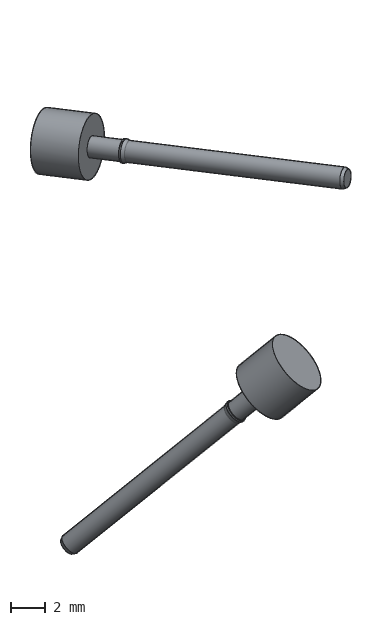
import cadquery as cq

overall_length = 19.0
head_diameter = 3.9
head_length = 3.0
shaft_diameter = 1.3

collar_diameter = 1.45
collar_start = 5.0
collar_land_length = 0.11
collar_taper_length = 0.23

tip_chamfer_length = 0.2
tip_chamfer_depth = 0.1

head_radius = head_diameter / 2
shaft_radius = shaft_diameter / 2
collar_radius = collar_diameter / 2
collar_land_end = collar_start + collar_land_length
collar_end = collar_land_end + collar_taper_length

half_section = (
    cq.Workplane("XZ")
    .moveTo(0, 0)
    .lineTo(0, head_radius)
    .lineTo(head_length, head_radius)
    .lineTo(head_length, shaft_radius)
    .lineTo(collar_start, shaft_radius)
    .lineTo(collar_start, collar_radius)
    .lineTo(collar_land_end, collar_radius)
    .lineTo(collar_end, shaft_radius)
    .lineTo(overall_length - tip_chamfer_length, shaft_radius)
    .lineTo(overall_length, shaft_radius - tip_chamfer_depth)
    .lineTo(overall_length, 0)
    .close()
)

result = half_section.revolve(360, (0, 0, 0), (1, 0, 0))